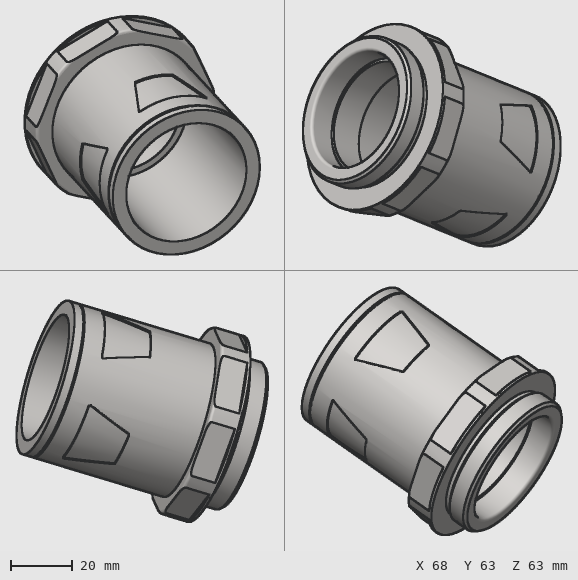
import cadquery as cq
import math

total_length = 68.0
thread_end = 6.65
neck_start = 7.4
flange_start = 9.0
flats_start = 10.05
flange_end = 19.05
ring_groove_start = 64.45
ring_groove_width = 0.4
ring_groove_end = ring_groove_start + ring_groove_width

thread_radius = 50.0 / 2
neck_radius = 48.15 / 2
flange_radius = 63.0 / 2
body_radius = 52.0 / 2
ring_groove_radius = body_radius - 0.5
mouth_chamfer_length = 1.0
flange_rim_round = 1.0

bore_radius = 39.5 / 2
throat_radius = 37.5 / 2
outlet_radius = 42.5 / 2
throat_start = 8.85
throat_end = 20.2
mouth_round = 1.0

flat_count = 8
across_flats = 60.0

pocket_count = 4
pocket_start = 41.4
pocket_end = 57.4
pocket_narrow_half = 6.6
pocket_wide_half = 12.05
pocket_depth = 0.5
pocket_corner_round = 0.4

X_AXIS_START = (0, 0, 0)
X_AXIS_END = (1, 0, 0)


def cylinder(radius, start, end):
    """Solid cylinder about the X axis."""
    return cq.Workplane("YZ", origin=(start, 0, 0)).circle(radius).extrude(end - start)


def turned_outside():
    rim_inset = flange_rim_round * (1 - math.sqrt(0.5))
    rim_middle = (flange_end - rim_inset, flange_radius - rim_inset)
    rim_end = (flange_end, flange_radius - flange_rim_round)
    return (
        cq.Workplane("XY")
        .moveTo(0, 0)
        .lineTo(0, neck_radius)
        .lineTo(mouth_chamfer_length, thread_radius)
        .lineTo(thread_end, thread_radius)
        .lineTo(neck_start, neck_radius)
        .lineTo(flange_start, neck_radius)
        .lineTo(flange_start, flange_radius)
        .lineTo(flange_end - flange_rim_round, flange_radius)
        .threePointArc(rim_middle, rim_end)
        .lineTo(flange_end, body_radius)
        .lineTo(ring_groove_start, body_radius)
        .lineTo(ring_groove_start, ring_groove_radius)
        .lineTo(ring_groove_end, ring_groove_radius)
        .lineTo(ring_groove_end, body_radius)
        .lineTo(total_length, body_radius)
        .lineTo(total_length, 0)
        .close()
        .revolve(360, X_AXIS_START, X_AXIS_END)
    )


def wrench_flat_cutter():
    """Material outside the octagon, over the part of the flange that carries the flats."""
    octagon_diameter = across_flats / math.cos(math.pi / flat_count)
    flats_length = flange_end - flats_start
    octagon = (
        cq.Workplane("YZ", origin=(flats_start, 0, 0))
        .polygon(flat_count, octagon_diameter)
        .extrude(flats_length)
    )
    return cylinder(2 * flange_radius, flats_start, flange_end).cut(octagon)


def pocket_cutter():
    """Four trapezoids, one per quarter turn, with a floor concentric with the body."""
    outline = [
        (pocket_start, -pocket_narrow_half),
        (pocket_end, -pocket_wide_half),
        (pocket_end, pocket_wide_half),
        (pocket_start, pocket_narrow_half),
    ]
    trapezoid = (
        cq.Workplane("XY")
        .polyline(outline)
        .close()
        .extrude(2 * body_radius)
        .edges("|Z")
        .fillet(pocket_corner_round)
    )
    core = cylinder(body_radius - pocket_depth, 0, total_length)
    single = trapezoid.cut(core)
    cutter = single
    for index in range(1, pocket_count):
        angle = index * 360 / pocket_count
        cutter = cutter.union(single.rotate(X_AXIS_START, X_AXIS_END, angle))
    return cutter


def bore_cutter():
    """Stepped bore with a rounded mouth."""
    round_middle = mouth_round * (1 - math.sqrt(0.5))
    return (
        cq.Workplane("XY")
        .moveTo(0, 0)
        .lineTo(0, bore_radius + mouth_round)
        .threePointArc((round_middle, bore_radius + round_middle), (mouth_round, bore_radius))
        .lineTo(throat_start, bore_radius)
        .lineTo(throat_start, throat_radius)
        .lineTo(throat_end, throat_radius)
        .lineTo(throat_end, outlet_radius)
        .lineTo(total_length, outlet_radius)
        .lineTo(total_length, 0)
        .close()
        .revolve(360, X_AXIS_START, X_AXIS_END)
    )


result = (
    turned_outside()
    .cut(wrench_flat_cutter())
    .cut(pocket_cutter())
    .cut(bore_cutter())
)